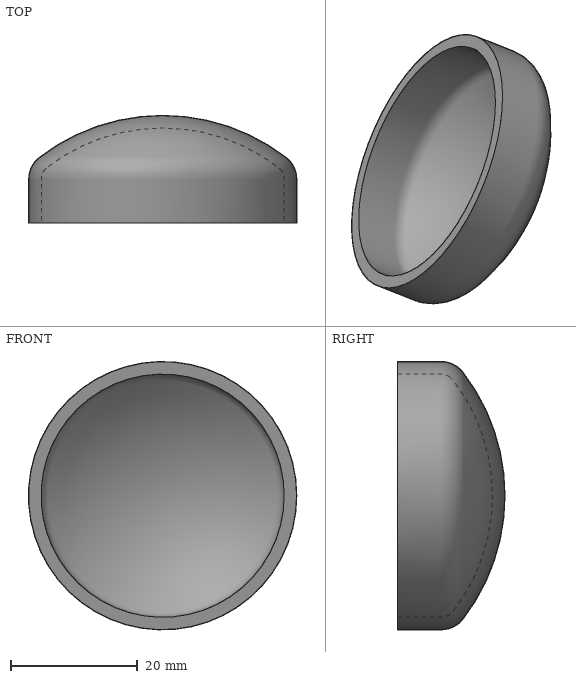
import cadquery as cq
import math

outer_radius = 21.2
cap_height = 17.0
rim_height = 6.9
crown_radius = 31.93
wall = 2.0

crown_center_y = cap_height - crown_radius
rim_above_center = rim_height - crown_center_y
shoulder_radius = (crown_radius**2 - outer_radius**2 - rim_above_center**2) / (
    2 * (crown_radius - outer_radius)
)
shoulder_center_x = outer_radius - shoulder_radius
crown_half_angle = math.atan2(shoulder_center_x, rim_above_center)


def crown_point(radius, angle):
    """Point on the crown arc, with the angle measured from the Y axis."""
    return (radius * math.sin(angle), crown_center_y + radius * math.cos(angle))


def shoulder_point(radius, angle):
    """Point on the shoulder arc, with the angle measured from the Y direction."""
    return (
        shoulder_center_x + radius * math.sin(angle),
        rim_height + radius * math.cos(angle),
    )


def domed_solid(inset):
    """Solid dome whose whole surface lies the given distance inside the outer one."""
    crown = crown_radius - inset
    shoulder = shoulder_radius - inset
    shoulder_middle_angle = (crown_half_angle + math.pi / 2) / 2
    return (
        cq.Workplane("XY")
        .moveTo(0, 0)
        .lineTo(outer_radius - inset, 0)
        .lineTo(outer_radius - inset, rim_height)
        .threePointArc(
            shoulder_point(shoulder, shoulder_middle_angle),
            shoulder_point(shoulder, crown_half_angle),
        )
        .threePointArc(crown_point(crown, crown_half_angle / 2), crown_point(crown, 0))
        .close()
        .revolve(360, (0, 0, 0), (0, 1, 0))
    )


result = domed_solid(0).cut(domed_solid(wall))